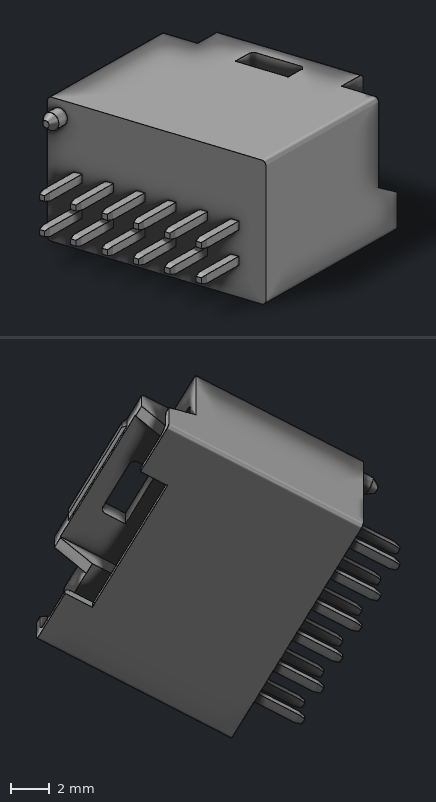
import cadquery as cq


total_length = 15.2
width = 14.0
height = 8.2
tray_front = 11.55
tongue_front = 11.84
side_wall = 0.64
floor_thickness = 0.68
outer_radius = 0.27
inner_radius = 0.3
lead_in = 0.27
base_thickness = 3.04

embed = 0.76

pin_columns = 6
pin_rows = 2
pin_pitch = 2.0
pin_size = 0.5
pin_tip_size = 0.33
pin_tip_length = 0.4
pin_length = 3.19
pin_mid_z = 3.09

post_diameter = 1.0
post_tip_diameter = 0.41
post_length = 1.2
post_tip_length = 0.45
post_x = -6.22
post_z = 7.22

tongue_width = 9.21
tongue_end_z = height - 1.5
lid_thickness = 1.37
ridge_front = total_length - pin_length
ridge_base_width = 6.17
ridge_tip_width = 5.62
ridge_base_z = height - 1.03
ridge_tip_z = height - 0.88
slope_start = 11.66
slope_drop = 0.26

notch_root = 9.94
tray_end_z = 2.22
tray_root_z = 3.05

window_width = 3.37
window_rear = 9.25
window_front = 10.75

tolerance = 0.002

cavity_width = width - 2 * side_wall
cavity_top = 2 * pin_mid_z - floor_thickness
channel_width = tongue_width - 2 * side_wall
channel_top = height - lid_thickness


def box(x_size, y_range, z_range):
    """Box centred on X = 0 between the given Y and Z limits."""
    y_min, y_max = y_range
    z_min, z_max = z_range
    centered = (True, False, False)
    block = cq.Workplane("XY").box(x_size, y_max - y_min, z_max - z_min, centered=centered)
    return block.translate((0, y_min, z_min))


def side_prism(points, x_size):
    """Prism centred on X = 0 with an outline given in (Y, Z)."""
    return cq.Workplane("YZ").polyline(points).close().extrude(x_size / 2, both=True)


def make_shell():
    """Rounded body with a low tray and a narrower tongue reaching forward at the mouth."""
    tray = side_prism(
        [
            (0, 0),
            (tray_front, 0),
            (tray_front, tray_end_z),
            (notch_root, tray_root_z),
            (notch_root, height),
            (0, height),
        ],
        width,
    )
    rounded = box(width, (0, tray_front), (0, height)).edges("|Y").fillet(outer_radius)
    slope = slope_drop / (ridge_front - slope_start)
    tongue_slope_end = height - slope * (tongue_front - slope_start)
    tongue = side_prism(
        [
            (base_thickness, height),
            (slope_start, height),
            (tongue_front, tongue_slope_end),
            (tongue_front, tongue_end_z),
            (notch_root, cavity_top),
            (base_thickness, cavity_top),
        ],
        tongue_width,
    )
    return tray.intersect(rounded).union(tongue)


def make_ridge():
    """Ridge on the tongue front whose top continues the tongue's sloped front edge."""
    profile = side_prism(
        [
            (window_front, height),
            (slope_start, height),
            (ridge_front, height - slope_drop),
            (ridge_front, ridge_tip_z),
            (tongue_front, ridge_base_z),
            (window_front, ridge_base_z),
        ],
        ridge_base_width,
    )
    plan = (
        cq.Workplane("XY")
        .polyline(
            [
                (-ridge_base_width / 2, window_front),
                (-ridge_base_width / 2, tongue_front),
                (-ridge_tip_width / 2, ridge_front),
                (ridge_tip_width / 2, ridge_front),
                (ridge_base_width / 2, tongue_front),
                (ridge_base_width / 2, window_front),
            ]
        )
        .close()
        .extrude(height)
    )
    return profile.intersect(plan)


def make_cavity():
    """Plug cavity with rounded corners, plus the latch channel under the tongue."""
    cavity_range = (base_thickness, ridge_front)
    plug = box(cavity_width, cavity_range, (floor_thickness, cavity_top)).edges("|Y").fillet(inner_radius)
    channel = box(channel_width, cavity_range, (pin_mid_z, channel_top))
    return plug.union(channel)


def make_window():
    """Latch window, rounded at its two front corners."""
    window = box(window_width, (window_rear, window_front), (pin_mid_z, height))
    return window.edges("|Z and >Y").fillet(inner_radius)


def make_pin():
    """Square pin with a tapered tip, pointing toward -Y on the Y axis."""
    shank_length = pin_length - pin_tip_length
    shank = box(pin_size, (-shank_length, embed), (-pin_size / 2, pin_size / 2))
    tip = (
        cq.Workplane("XZ", origin=(0, -shank_length, 0))
        .rect(pin_size, pin_size)
        .workplane(offset=pin_tip_length)
        .rect(pin_tip_size, pin_tip_size)
        .loft()
    )
    return shank.union(tip)


def make_post():
    """Round locating post with a conical tip."""
    shank_length = post_length - post_tip_length
    return (
        cq.Workplane("XY")
        .polyline(
            [
                (0, embed),
                (post_diameter / 2, embed),
                (post_diameter / 2, -shank_length),
                (post_tip_diameter / 2, -post_length),
                (0, -post_length),
            ]
        )
        .close()
        .revolve(360, (0, 0, 0), (0, 1, 0))
        .translate((post_x, 0, post_z))
    )


def make_housing():
    """Hollow body with a notch in the tray floor and a lead-in chamfer around the tray mouth."""
    floor_notch = box(channel_width, (notch_root, tray_front), (0, pin_mid_z))
    housing = make_shell().cut(make_cavity()).cut(floor_notch)
    mouth_edges = [edge for edge in housing.edges().vals() if is_tray_mouth_edge(edge)]
    housing = housing.newObject(mouth_edges).chamfer(lead_in)
    return housing.union(make_ridge()).cut(make_window())


def is_tray_mouth_edge(edge):
    """True for an edge at the tray mouth that lies on the cavity wall and does not run along Y."""
    center = edge.Center()
    extent = edge.BoundingBox()
    at_mouth = center.y > notch_root - tolerance and center.z < tray_root_z
    on_floor = abs(center.z - floor_thickness) < tolerance
    on_side = abs(abs(center.x) - cavity_width / 2) < tolerance
    in_corner = floor_thickness < center.z < floor_thickness + inner_radius
    crosses_y = extent.xlen > tolerance or extent.zlen > tolerance
    return at_mouth and crosses_y and (on_floor or on_side or in_corner)


def make_pins():
    """Grid of pins centred on X = 0 and on the middle height of the plug cavity."""
    pin = make_pin()
    pins = cq.Workplane("XY")
    for column in range(pin_columns):
        for row in range(pin_rows):
            pin_x = (column - (pin_columns - 1) / 2) * pin_pitch
            pin_z = pin_mid_z + (row - (pin_rows - 1) / 2) * pin_pitch
            pins = pins.add(pin.translate((pin_x, 0, pin_z)))
    return pins.combine()


result = make_housing().union(make_post()).union(make_pins())